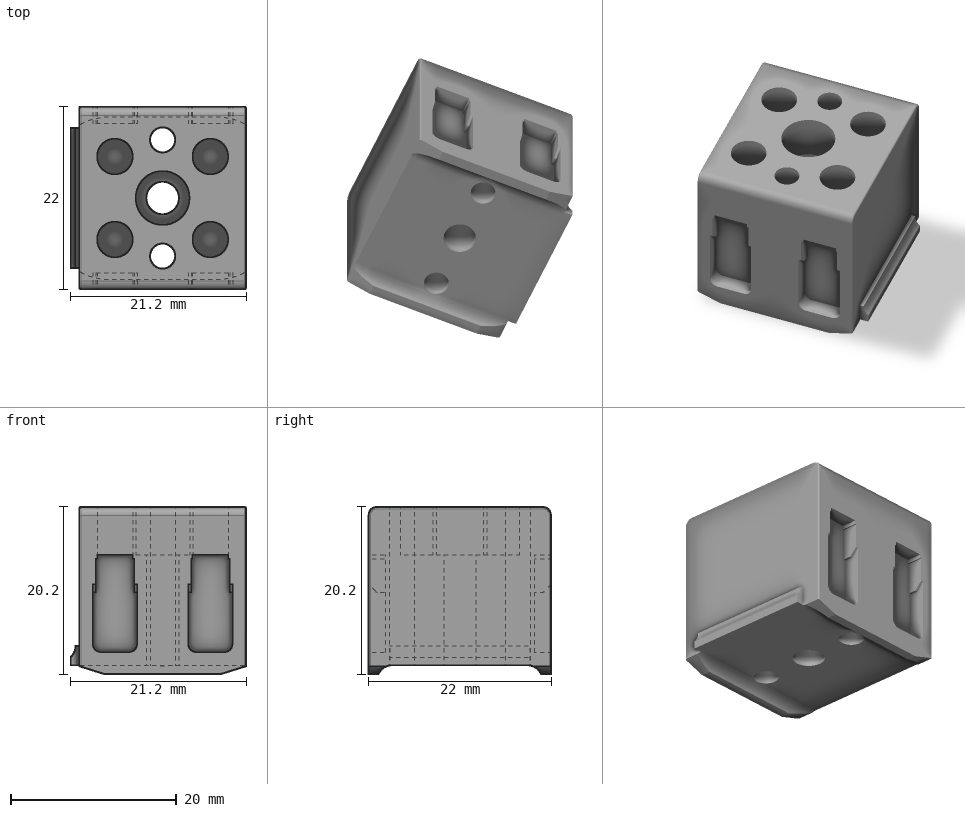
import cadquery as cq

body_width = 20.1
body_length = 22.0
body_height = 20.15
top_edge_radius = 1.0
side_edge_radius = 0.2

slope_width = 3.0
slope_height = 0.95
channel_depth = 1.05
foot_length = 1.2
channel_roof_half = 8.2

lip_reach = 1.05
lip_top_reach = 0.45
lip_length = 16.9
lip_bottom_z = channel_depth
lip_shoulder_z = 2.05
lip_top_z = 3.4

opening_x = 5.75
opening_depth = 2.0
opening_bottom_z = 2.65
opening_corner_radius = 1.0
entry_width = 5.35
entry_top_z = 9.85
entry_slope_size = 1.0
neck_width = 4.65
neck_top_z = 13.9
crown_width = 4.3
crown_top_z = 14.4

screw_hole_diameter = 4.3
screw_hole_y = 5.0
screw_hole_depth = body_height - crown_top_z
pin_hole_diameter = 3.0
pin_hole_y = 7.0
center_hole_diameter = 3.9
counterbore_diameter = 6.5
counterbore_depth = screw_hole_depth

half_width = body_width / 2
half_length = body_length / 2


def make_body():
    """Block with rounded top ends, softened side edges and sloped lower edges."""
    block = cq.Workplane("XY").box(body_width, body_length, body_height, centered=(True, True, False))
    block = block.edges("|X and >Z").fillet(top_edge_radius)
    block = block.faces("<X or >X").edges("not <Z").fillet(side_edge_radius)
    for side in (-1, 1):
        wedge = (
            cq.Workplane("XZ")
            .moveTo(side * half_width, 0)
            .lineTo(side * half_width, slope_height)
            .lineTo(side * (half_width - slope_width), 0)
            .close()
            .extrude(half_length, both=True)
        )
        block = block.cut(wedge)
    return block


def make_channel():
    """Channel between the two end feet; each corner arc is tangent to the flat roof."""
    mouth_half = half_length - foot_length
    arc_run = mouth_half - channel_roof_half
    arc_radius = (arc_run**2 + channel_depth**2) / (2 * channel_depth)
    arc_center_z = channel_depth - arc_radius
    mid_run = arc_run / 2
    mid_y = channel_roof_half + mid_run
    mid_z = arc_center_z + (arc_radius**2 - mid_run**2) ** 0.5
    return (
        cq.Workplane("YZ")
        .moveTo(-mouth_half, 0)
        .threePointArc((-mid_y, mid_z), (-channel_roof_half, channel_depth))
        .lineTo(channel_roof_half, channel_depth)
        .threePointArc((mid_y, mid_z), (mouth_half, 0))
        .close()
        .extrude(half_width, both=True)
    )


def make_lip():
    """Side lip whose hollow upper face starts vertical at the top and flares outwards."""
    outer_x = -half_width - lip_reach
    top_x = -half_width - lip_top_reach
    root_x = -half_width + slope_width
    flare_run = lip_reach - lip_top_reach
    flare_drop = lip_top_z - lip_shoulder_z
    flare_radius = (flare_run**2 + flare_drop**2) / (2 * flare_run)
    mid_drop = flare_drop / 2
    mid_x = top_x - flare_radius + (flare_radius**2 - mid_drop**2) ** 0.5
    return (
        cq.Workplane("XZ")
        .moveTo(root_x, lip_bottom_z)
        .lineTo(outer_x, lip_bottom_z)
        .lineTo(outer_x, lip_shoulder_z)
        .threePointArc((mid_x, lip_top_z - mid_drop), (top_x, lip_top_z))
        .lineTo(root_x, lip_top_z)
        .close()
        .extrude(lip_length / 2, both=True)
    )


def make_opening():
    """Cutter for one opening in the -Y end, centred on X = 0."""
    floor_y = -half_length + opening_depth
    entry_mouth_z = entry_top_z + entry_slope_size
    entry = (
        cq.Workplane("YZ")
        .moveTo(-half_length, opening_bottom_z)
        .lineTo(floor_y, opening_bottom_z)
        .lineTo(floor_y, entry_top_z)
        .lineTo(-half_length + entry_slope_size, entry_top_z)
        .lineTo(-half_length, entry_mouth_z)
        .close()
        .extrude(entry_width / 2, both=True)
        .edges("|Y and <Z")
        .fillet(opening_corner_radius)
    )

    def upper_step(width, top_z):
        height = top_z - entry_top_z
        return (
            cq.Workplane("XY", origin=(0, -half_length, entry_top_z))
            .box(width, opening_depth, height, centered=(True, False, False))
        )

    return entry.union(upper_step(neck_width, neck_top_z)).union(upper_step(crown_width, crown_top_z))


def cut_openings(part):
    """Two openings in each end of the block."""
    opening = make_opening()
    far_opening = opening.mirror("XZ")
    for x in (-opening_x, opening_x):
        part = part.cut(opening.translate((x, 0, 0)))
        part = part.cut(far_opening.translate((x, 0, 0)))
    return part


def cut_vertical_holes(part):
    """Four blind screw holes, two pin holes and a counterbored centre hole."""
    top = cq.Workplane("XY", origin=(0, 0, body_height))
    screw_points = [(x, y) for x in (-opening_x, opening_x) for y in (-screw_hole_y, screw_hole_y)]
    screw_holes = top.pushPoints(screw_points).circle(screw_hole_diameter / 2).extrude(-screw_hole_depth)
    pin_points = [(0, -pin_hole_y), (0, pin_hole_y)]
    pin_holes = top.pushPoints(pin_points).circle(pin_hole_diameter / 2).extrude(-body_height)
    center_hole = top.circle(center_hole_diameter / 2).extrude(-body_height)
    counterbore = top.circle(counterbore_diameter / 2).extrude(-counterbore_depth)
    return part.cut(screw_holes).cut(pin_holes).cut(center_hole).cut(counterbore)


result = make_body().cut(make_channel()).union(make_lip())
result = cut_openings(result)
result = cut_vertical_holes(result)